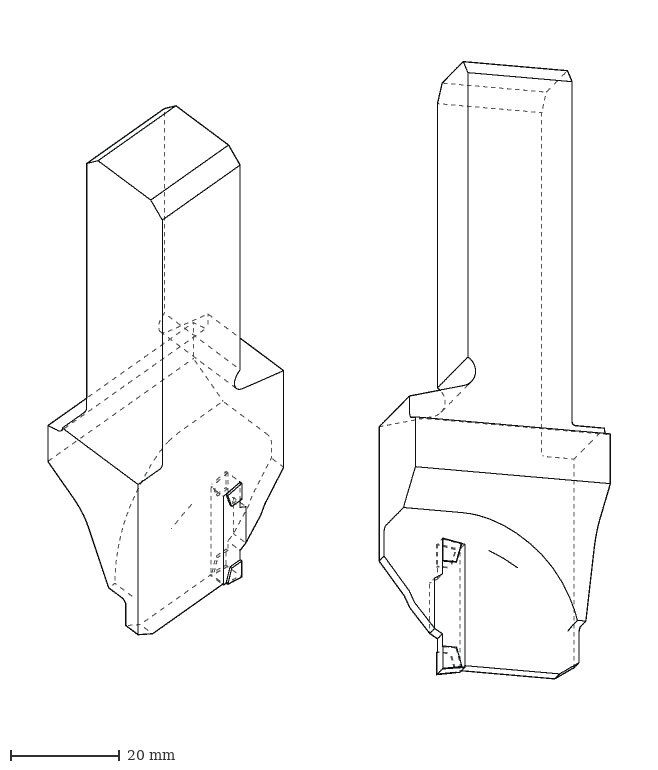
import cadquery as cq
import math

HEIGHT = 112.7
HEAD_DEPTH = 37.3
HOLDER_WIDTH = 23.8
SHANK_SIZE = 20.0
SHANK_LEFT = HOLDER_WIDTH - SHANK_SIZE
SHANK_FRONT = 6.2
SHANK_BACK = SHANK_FRONT + SHANK_SIZE
SHANK_CHAMFER = 3.0

FRONT_STEP_Z = 43.6
STEP_FILLET = 0.7
BACK_SHOULDER_Z = 46.5
RELIEF_START = (26.8, 49.5)
RELIEF_MIDDLE = (24.7, 52.3)
RELIEF_END_Z = 55.0

SIDE_LIP_Z = 41.4
SIDE_GROOVE_START = (2.5, 42.0)
SIDE_GROOVE_MIDDLE = (3.5, 42.6)
SIDE_GROOVE_END_Z = 43.7
SIDE_BOTTOM_Z = 31.8
TAPER_CORNER = (9.4, 25.2)
TAPER_RADIUS = 11.2
TAPER_END = (16.0, 10.1)

BLADE_THICKNESS = 3.3
BLADE_LEFT = HOLDER_WIDTH - BLADE_THICKNESS
BLADE_BOTTOM_Z = 1.0
BLADE_CORNER_Y = 3.7
BLADE_CORNER_Z = 3.5
ARCH_TOP_Z = 26.3
ARCH_RADIUS = 26.7
ARCH_FILLET = 1.1
CUT_OVERRUN = 3.4

FINGER_TOP_Z = 20.7
FINGER_KNEE_UPPER = (32.5, 14.4)
FINGER_KNEE_LOWER = (31.5, 12.3)

INSERT_LENGTH = 25.0
INSERT_FRONT = 21.9
INSERT_RAKE = SHANK_BACK
INSERT_RIDGE = 27.6
RIDGE_START_Z = 6.8
RIDGE_RISE = 0.9
END_CLEARANCE = 0.7
TIP_WIDTH = 4.2
TIP_HEIGHT = 4.3
TIP_FRONT = 22.5
TIP_HEEL_FRONT = 23.6


def extrude_along_x(outline, left, width):
    """Extrude a closed YZ outline towards +X."""
    return outline.extrude(width).translate((left, 0, 0))


def insert_outline():
    ridge_low = RIDGE_START_Z + RIDGE_RISE
    return cq.Workplane("YZ").polyline([
        (INSERT_RAKE, 0),
        (INSERT_RAKE, RIDGE_START_Z),
        (INSERT_RIDGE, ridge_low),
        (INSERT_RIDGE, INSERT_LENGTH - ridge_low),
        (INSERT_RAKE, INSERT_LENGTH - RIDGE_START_Z),
        (INSERT_RAKE, INSERT_LENGTH),
        (INSERT_FRONT, INSERT_LENGTH - END_CLEARANCE),
        (INSERT_FRONT, END_CLEARANCE),
    ]).close()


def make_tip():
    """Lower cutting tip, wider than the blade on both sides."""
    outline = cq.Workplane("YZ").polyline([
        (INSERT_RAKE, 0),
        (INSERT_RAKE, TIP_HEIGHT),
        (TIP_HEEL_FRONT, TIP_HEIGHT),
        (TIP_FRONT, END_CLEARANCE),
    ]).close()
    blade_middle = BLADE_LEFT + BLADE_THICKNESS / 2
    return extrude_along_x(outline, blade_middle - TIP_WIDTH / 2, TIP_WIDTH)


def make_insert():
    body = extrude_along_x(insert_outline(), BLADE_LEFT, BLADE_THICKNESS)
    lower_tip = make_tip()
    upper_tip = lower_tip.mirror("XY", (0, 0, INSERT_LENGTH / 2))
    return body.union(lower_tip).union(upper_tip)


def width_profile():
    """Shank, side shoulder and taper, with stock left beside the blade, extruded over the head depth."""
    top_points = [
        (SHANK_LEFT, HEIGHT - SHANK_CHAMFER),
        (SHANK_LEFT + SHANK_CHAMFER, HEIGHT),
        (HOLDER_WIDTH - SHANK_CHAMFER, HEIGHT),
        (HOLDER_WIDTH, HEIGHT - SHANK_CHAMFER),
    ]
    outline = cq.Workplane("XZ").moveTo(0, SIDE_LIP_Z).lineTo(*SIDE_GROOVE_START)
    outline = outline.threePointArc(SIDE_GROOVE_MIDDLE, (SHANK_LEFT, SIDE_GROOVE_END_Z))
    for point in top_points:
        outline = outline.lineTo(*point)
    outline = (
        outline.lineTo(HOLDER_WIDTH, 0)
        .lineTo(TAPER_END[0], 0)
        .lineTo(*TAPER_END)
        .lineTo(*TAPER_CORNER)
        .lineTo(0, SIDE_BOTTOM_Z)
        .close()
    )
    body = outline.extrude(-HEAD_DEPTH)
    taper_edge = cq.selectors.NearestToPointSelector((TAPER_CORNER[0], HEAD_DEPTH / 2, TAPER_CORNER[1]))
    return body.edges("|Y").edges(taper_edge).fillet(TAPER_RADIUS)


def depth_profile():
    """Outline of the shank, shoulders, blade and clamping finger."""
    outline = (
        cq.Workplane("YZ").moveTo(SHANK_FRONT, HEIGHT)
        .lineTo(SHANK_FRONT, FRONT_STEP_Z + STEP_FILLET)
        .radiusArc((SHANK_FRONT - STEP_FILLET, FRONT_STEP_Z), STEP_FILLET)
        .lineTo(0, FRONT_STEP_Z)
        .lineTo(0, BLADE_CORNER_Z)
        .lineTo(BLADE_CORNER_Y, BLADE_BOTTOM_Z)
        .lineTo(INSERT_RAKE, BLADE_BOTTOM_Z)
        .lineTo(INSERT_RAKE, RIDGE_START_Z)
        .lineTo(INSERT_RIDGE, RIDGE_START_Z + RIDGE_RISE)
        .lineTo(*FINGER_KNEE_LOWER)
        .lineTo(*FINGER_KNEE_UPPER)
        .lineTo(HEAD_DEPTH, FINGER_TOP_Z)
        .lineTo(HEAD_DEPTH, BACK_SHOULDER_Z)
        .lineTo(*RELIEF_START)
        .threePointArc(RELIEF_MIDDLE, (SHANK_BACK, RELIEF_END_Z))
        .lineTo(SHANK_BACK, HEIGHT)
        .close()
    )
    return outline.extrude(HOLDER_WIDTH)


def arch_cutter():
    """Space beside the blade: round at the front, flat-topped at the back."""
    floor_z = TAPER_END[1]
    arch_centre_z = ARCH_TOP_Z - ARCH_RADIUS
    floor_y = INSERT_RAKE - math.sqrt(ARCH_RADIUS**2 - (floor_z - arch_centre_z) ** 2)
    arch_angle = math.radians(60)
    arch_middle = (
        INSERT_RAKE - ARCH_RADIUS * math.cos(arch_angle),
        arch_centre_z + ARCH_RADIUS * math.sin(arch_angle),
    )
    outline = (
        cq.Workplane("YZ").moveTo(-CUT_OVERRUN, -CUT_OVERRUN)
        .lineTo(-CUT_OVERRUN, floor_z)
        .lineTo(floor_y, floor_z)
        .threePointArc(arch_middle, (INSERT_RAKE, ARCH_TOP_Z))
        .lineTo(HEAD_DEPTH + CUT_OVERRUN, ARCH_TOP_Z)
        .lineTo(HEAD_DEPTH + CUT_OVERRUN, -CUT_OVERRUN)
        .close()
    )
    return outline.extrude(BLADE_LEFT).faces(">X").edges().fillet(ARCH_FILLET)


def make_holder(insert):
    body = width_profile().intersect(depth_profile())
    return body.cut(arch_cutter()).cut(insert)


insert = make_insert()
holder = make_holder(insert)
result = cq.Compound.makeCompound([holder.val(), insert.val()])